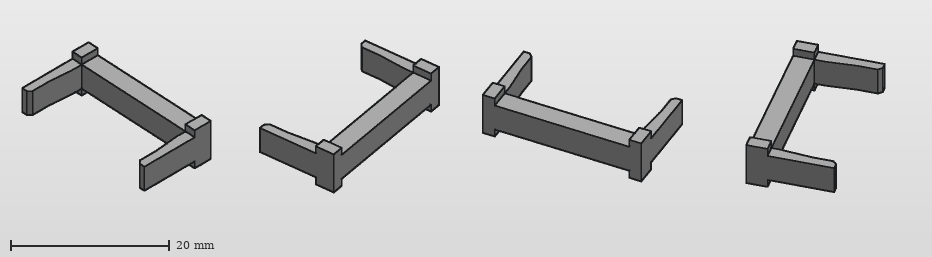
import cadquery as cq

length = 22.4
depth = 11.6
end_height = 6.1

bar_height = 3.85
bar_depth = 2.82
end_width = 1.7

taper_start = 4.35
taper_end = 8.33
arm_tip_width = 1.37
tip_chamfer_width = 0.5
tip_chamfer_length = 0.52

half_length = length / 2
back = depth / 2
front = -depth / 2
block_inner = half_length - end_width
arm_inner = half_length - arm_tip_width


def back_box(width, height, x_center):
    """Box against the back face, as deep as the crossbar and centred on Z = 0."""
    return cq.Workplane("XY").box(width, bar_depth, height).translate((x_center, back - bar_depth / 2, 0))


def right_arm():
    """Arm whose inner face tapers towards a bevelled tip."""
    outline = [
        (half_length, back),
        (block_inner, back),
        (block_inner, back - taper_start),
        (arm_inner, back - taper_end),
        (arm_inner, front + tip_chamfer_length),
        (arm_inner + tip_chamfer_width, front),
        (half_length, front),
    ]
    return cq.Workplane("XY").polyline(outline).close().extrude(bar_height / 2, both=True)


end_center = half_length - end_width / 2
arm = right_arm()

result = back_box(length, bar_height, 0)
for side in (-1, 1):
    result = result.union(back_box(end_width, end_height, side * end_center))
result = result.union(arm).union(arm.mirror("YZ"))